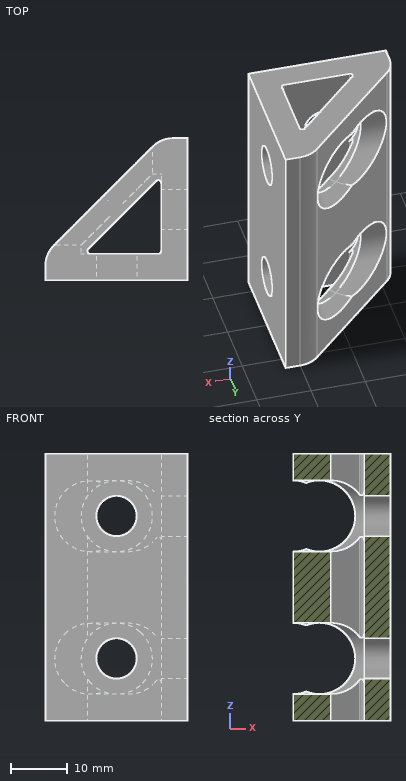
import cadquery as cq
import math

length = 47.6
leg = 25.4
nose = 4.7
nose_radius = 5.0
wall = 4.75
web = 4.8
pocket_radius = 0.5

hole_diameter = 7.15
counterbore_diameter = 12.65
hole_offset = leg / 2
hole_spacing = leg
hole_heights = [length / 2 - hole_spacing / 2, length / 2 + hole_spacing / 2]


def make_body():
    """Right-angled prism with both slope corners rounded."""
    outline = [(0, 0), (leg, 0), (leg, leg), (leg - nose, leg), (0, nose)]
    body = cq.Workplane("XY").polyline(outline).close().extrude(length)
    for corner in [(leg - nose, leg), (0, nose)]:
        corner_edge = cq.selectors.NearestToPointSelector((*corner, length / 2))
        body = body.edges("|Z").edges(corner_edge).fillet(nose_radius)
    return body


def make_pocket():
    """Triangular opening running the full length between legs and web."""
    inner_x = leg - wall
    inner_slope = nose - web * math.sqrt(2)
    outline = [(wall - inner_slope, wall), (inner_x, wall), (inner_x, inner_x + inner_slope)]
    pocket = cq.Workplane("XY").polyline(outline).close().extrude(length)
    return pocket.edges("|Z").fillet(pocket_radius)


def make_screw_cut(height, seat, direction):
    """Hole through a leg, with a counterbore from the leg's inner face out through the web."""
    start = cq.Vector(*seat, height)
    axis = cq.Vector(*direction, 0)
    counterbore = cq.Solid.makeCylinder(counterbore_diameter / 2, leg, start, axis)
    hole = cq.Solid.makeCylinder(hole_diameter / 2, wall, start, axis * -1)
    return cq.Workplane(counterbore).union(cq.Workplane(hole))


result = make_body().cut(make_pocket())
for hole_height in hole_heights:
    result = result.cut(make_screw_cut(hole_height, (hole_offset, wall), (0, 1)))
    result = result.cut(make_screw_cut(hole_height, (leg - wall, hole_offset), (-1, 0)))